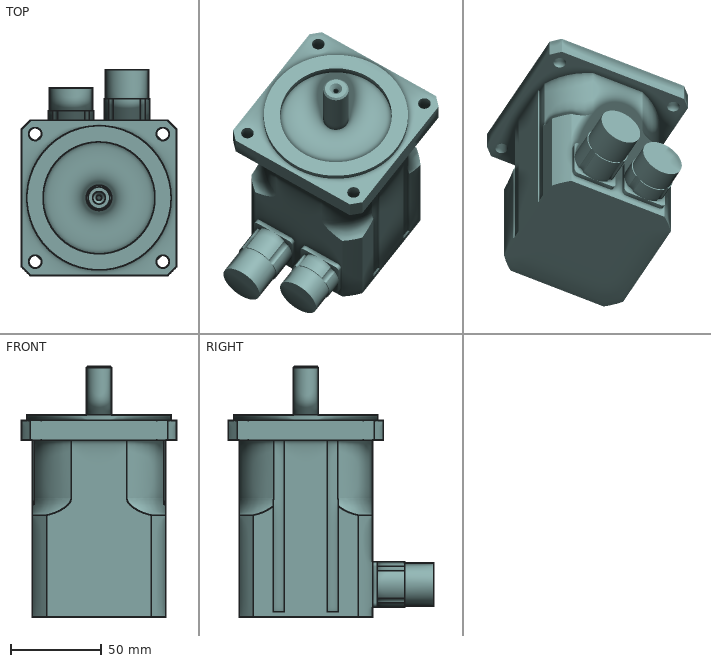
import cadquery as cq
import math

body_width = 74.0
body_height = 98.0
body_corner_dia = 94.0

neck_dia = 80.0
neck_bottom = 66.0
neck_fillet = 10.0

groove_depth = 1.1
groove_width = 6.1
groove_inner_y = 11.8
groove_bottom = 3.0

flange_width = 86.0
flange_top = 109.0
flange_chamfer = 5.0
bolt_circle_dia = 100.0
bolt_hole_dia = 7.0
pilot_dia = 79.9
pilot_height = 3.0
recess_dia = 62.0
recess_depth = 4.0

shaft_dia = 14.0
shaft_top = 139.0
shaft_chamfer = 1.0
centre_mouth_dia = 7.0
centre_hole_dia = 2.9
centre_cone_depth = 2.2
centre_hole_depth = 7.0

connector_spacing = 31.0
connector_z = 18.1
plug_flange_width = 25.3
plug_flange_thickness = 2.5
plug_flange_corner = 2.5
sleeve_dia = 24.0
flute_count = 4
flute_start_angle = 45
flute_depth = 1.0
flute_dia = 5.3
signal_collar_end = 48.4
signal_sleeve_end = 60.9
power_collar_end = 54.8
total_depth = 114.0

rear_face = body_width / 2
pilot_top = flange_top + pilot_height
recess_floor = pilot_top - recess_depth
power_sleeve_end = total_depth - flange_width / 2


def disc(diameter, bottom, top):
    """Upright cylinder on the motor axis."""
    return cq.Workplane("XY").workplane(offset=bottom).circle(diameter / 2).extrude(top - bottom)


def make_block():
    """Square block with rounded vertical edges."""
    block = cq.Workplane("XY").rect(body_width, body_width).extrude(body_height)
    return block.intersect(disc(body_corner_dia, 0, body_height))


def make_corner_relief():
    """Ring that trims the block corners to the neck and fades out in a concave fillet."""
    neck_radius = neck_dia / 2
    fillet_bottom = neck_bottom - neck_fillet
    fillet_outer = neck_radius + neck_fillet
    bend = neck_fillet * math.sqrt(0.5)
    return (
        cq.Workplane("XZ")
        .moveTo(neck_radius, body_height)
        .lineTo(neck_radius, neck_bottom)
        .threePointArc((fillet_outer - bend, neck_bottom - bend), (fillet_outer, fillet_bottom))
        .lineTo(fillet_outer, body_height)
        .close()
        .revolve(360, (0, 0, 0), (0, 1, 0))
    )


def make_grooves():
    """Two grooves on each X side, open upward under the flange."""
    groove_y = groove_inner_y + groove_width / 2
    side_points = [(x, y) for x in (-body_width / 2, body_width / 2) for y in (-groove_y, groove_y)]
    return (
        cq.Workplane("XY")
        .workplane(offset=groove_bottom)
        .pushPoints(side_points)
        .rect(2 * groove_depth, groove_width)
        .extrude(body_height - groove_bottom)
    )


def make_flange():
    """Square mounting flange with bolt holes, raised centring ring and inner recess."""
    bolt_pitch = bolt_circle_dia * math.sqrt(0.5)
    plate = (
        cq.Workplane("XY")
        .workplane(offset=body_height)
        .rect(flange_width, flange_width)
        .extrude(flange_top - body_height)
        .edges("|Z")
        .chamfer(flange_chamfer)
        .faces(">Z")
        .workplane()
        .rect(bolt_pitch, bolt_pitch, forConstruction=True)
        .vertices()
        .hole(bolt_hole_dia)
    )
    pilot = disc(pilot_dia, flange_top, pilot_top)
    return plate.union(pilot).cut(disc(recess_dia, recess_floor, pilot_top))


def make_shaft():
    """Chamfered shaft with a countersunk centre hole."""
    shaft = disc(shaft_dia, recess_floor, shaft_top).faces(">Z").chamfer(shaft_chamfer)
    centre_hole = (
        cq.Workplane("XZ")
        .moveTo(0, shaft_top)
        .lineTo(centre_mouth_dia / 2, shaft_top)
        .lineTo(centre_hole_dia / 2, shaft_top - centre_cone_depth)
        .lineTo(centre_hole_dia / 2, shaft_top - centre_hole_depth)
        .lineTo(0, shaft_top - centre_hole_depth)
        .close()
        .revolve(360, (0, 0, 0), (0, 1, 0))
    )
    return shaft.cut(centre_hole)


def make_motor():
    """Housing, flange and shaft as one solid."""
    housing = make_block().cut(make_corner_relief()).cut(make_grooves())
    return housing.union(make_flange()).union(make_shaft())


def make_connector(centre_x, collar_end, sleeve_end):
    """Connector pointing in +Y: square flange, fluted collar and plain sleeve."""
    collar_start = rear_face + plug_flange_thickness
    collar_length = collar_end - collar_start
    flute_circle_radius = (plug_flange_width + flute_dia) / 2 - flute_depth

    def section(start):
        return cq.Workplane("XZ", origin=(centre_x, start, connector_z))

    plug_flange = (
        section(rear_face)
        .rect(plug_flange_width, plug_flange_width)
        .extrude(-plug_flange_thickness)
        .edges("|Y")
        .fillet(plug_flange_corner)
    )
    flutes = (
        section(collar_start)
        .polarArray(flute_circle_radius, flute_start_angle, 360, flute_count)
        .circle(flute_dia / 2)
        .extrude(-collar_length)
    )
    collar = section(collar_start).circle(plug_flange_width / 2).extrude(-collar_length).cut(flutes)
    sleeve = section(collar_end).circle(sleeve_dia / 2).extrude(collar_end - sleeve_end)
    return plug_flange.union(collar).union(sleeve)


motor = make_motor()
signal_connector = make_connector(-connector_spacing / 2, signal_collar_end, signal_sleeve_end)
power_connector = make_connector(connector_spacing / 2, power_collar_end, power_sleeve_end)

result = cq.Compound.makeCompound([motor.val(), signal_connector.val(), power_connector.val()])